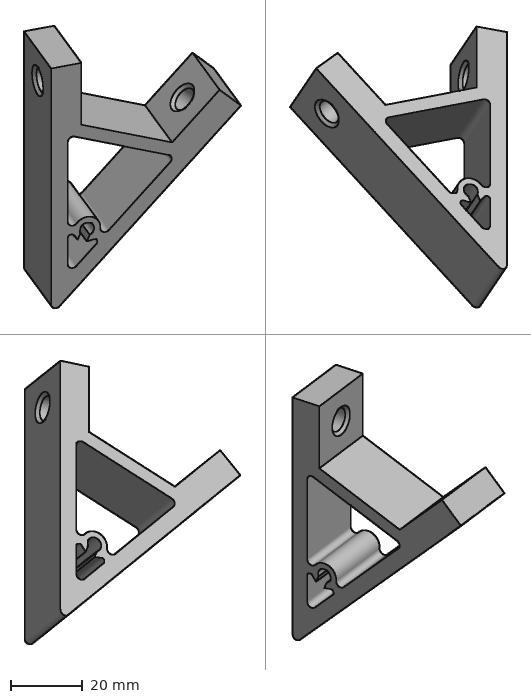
import cadquery as cq
import math


WIDTH = 22.0
HEIGHT = 77.9
HALF_ANGLE = math.radians(22.5)
ARM_THICKNESS = 9.0
ARM_FREE_LENGTH = 20.0
WALL = 5.0
STRUT_THICKNESS = 4.0
CORNER_RADIUS = 1.5

CLIP_DISTANCE = 27.95
CLIP_INNER_RADIUS = 2.1
CLIP_OUTER_RADIUS = 4.0
THROAT_HALF_WIDTH = 1.5
LIP_SLOPE = math.radians(31)
LIP_CORNER_RADIUS = 0.9

HOLE_DIAMETER = 7.0
COUNTERSINK_DIAMETER = 8.95
HOLE_FROM_END = 10.0

SIN = math.sin(HALF_ANGLE)
COS = math.cos(HALF_ANGLE)
TAN = math.tan(HALF_ANGLE)

TIP_LOSS = CORNER_RADIUS * (1 / TAN - 1)
ARM_LENGTH = HEIGHT + TIP_LOSS


def place(across, along):
    """Convert a local profile point to (Y, Z)."""
    y = across * COS + along * SIN
    z = along * COS - across * SIN - TIP_LOSS
    return (y, z)


def on_arm(depth, distance):
    """Local point at a depth under the outer face, on the positive-across arm."""
    return (distance * SIN - depth * COS, distance * COS + depth * SIN)


def mirrored(point):
    return (-point[0], point[1])


def prism(profile):
    return profile.close().extrude(WIDTH / 2, both=True)


def symmetric_prism(half_points):
    """Extrude a polygon given by its positive-across half, lowest point first."""
    other_half = [mirrored(p) for p in reversed(half_points) if p[0] != 0]
    points = [place(*p) for p in half_points + other_half]
    return prism(cq.Workplane("YZ").polyline(points))


def round_corners(solid, radius, corners):
    """Round the X-direction edges that pass through the given local points."""
    for corner in corners:
        y, z = place(*corner)
        edge = cq.selectors.NearestToPointSelector((0, y, z))
        solid = solid.edges("|X").edges(edge).fillet(radius)
    return solid


def make_body():
    tip = (0, 0)
    body = symmetric_prism([
        tip,
        on_arm(0, ARM_LENGTH),
        on_arm(ARM_THICKNESS, ARM_LENGTH),
        on_arm(ARM_THICKNESS, ARM_LENGTH - ARM_FREE_LENGTH),
    ])
    return round_corners(body, CORNER_RADIUS, [tip])


def wall_across(along):
    """Across position of the pocket wall."""
    return along * TAN - WALL / COS


def make_main_pocket():
    """Opening under the strut, notched from below by the clip."""
    strut_top = on_arm(ARM_THICKNESS, ARM_LENGTH - ARM_FREE_LENGTH)[1]
    top = strut_top - STRUT_THICKNESS
    top_corner = (wall_across(top), top)
    shoulder = (CLIP_OUTER_RADIUS * COS, CLIP_DISTANCE + CLIP_OUTER_RADIUS * SIN)
    leg_reach = shoulder[0] + shoulder[1] * TAN
    foot_along = (leg_reach + WALL / COS) / (2 * TAN)
    foot = (wall_across(foot_along), foot_along)
    crown = (0, CLIP_DISTANCE + CLIP_OUTER_RADIUS)
    profile = (
        cq.Workplane("YZ")
        .moveTo(*place(*shoulder))
        .lineTo(*place(*foot))
        .lineTo(*place(*top_corner))
        .lineTo(*place(*mirrored(top_corner)))
        .lineTo(*place(*mirrored(foot)))
        .lineTo(*place(*mirrored(shoulder)))
        .threePointArc(place(*crown), place(*shoulder))
    )
    corners = [foot, top_corner, mirrored(foot), mirrored(top_corner)]
    return round_corners(prism(profile), CORNER_RADIUS, corners)


def make_clip_pocket():
    """Opening below the clip, joined by a throat to the round seat of the clip."""
    lip_along = CLIP_DISTANCE - math.sqrt(CLIP_OUTER_RADIUS**2 - THROAT_HALF_WIDTH**2)
    seat_along = CLIP_DISTANCE - math.sqrt(CLIP_INNER_RADIUS**2 - THROAT_HALF_WIDTH**2)
    lip = (THROAT_HALF_WIDTH, lip_along)
    throat_top = (THROAT_HALF_WIDTH, seat_along)
    rise = math.tan(LIP_SLOPE)
    run = (wall_across(lip_along) - THROAT_HALF_WIDTH) / (1 - rise * TAN)
    ear = (THROAT_HALF_WIDTH + run, lip_along + run * rise)
    bottom = (0, WALL / SIN)
    crown = (0, CLIP_DISTANCE + CLIP_INNER_RADIUS)
    profile = (
        cq.Workplane("YZ")
        .moveTo(*place(*bottom))
        .lineTo(*place(*ear))
        .lineTo(*place(*lip))
        .lineTo(*place(*throat_top))
        .threePointArc(place(*crown), place(*mirrored(throat_top)))
        .lineTo(*place(*mirrored(lip)))
        .lineTo(*place(*mirrored(ear)))
    )
    pocket = round_corners(prism(profile), CORNER_RADIUS, [bottom])
    return round_corners(pocket, LIP_CORNER_RADIUS, [ear, mirrored(ear)])


def make_hole_cutter():
    """Hole through the upright arm, countersunk at 45 degrees on both faces."""
    bore = HOLE_DIAMETER / 2
    mouth = COUNTERSINK_DIAMETER / 2
    sink = mouth - bore
    return (
        cq.Workplane("XY")
        .polyline([
            (0, 0),
            (mouth, 0),
            (bore, sink),
            (bore, ARM_THICKNESS - sink),
            (mouth, ARM_THICKNESS),
            (0, ARM_THICKNESS),
        ])
        .close()
        .revolve(360, (0, 0, 0), (0, 1, 0))
        .translate((0, 0, HEIGHT - HOLE_FROM_END))
    )


upright_hole = make_hole_cutter()
slanted_hole = (
    upright_hole
    .translate((0, 0, TIP_LOSS))
    .mirror("XY")
    .rotate((0, 0, 0), (1, 0, 0), 180 - 2 * math.degrees(HALF_ANGLE))
    .translate((0, 0, -TIP_LOSS))
)

result = (
    make_body()
    .cut(make_main_pocket())
    .cut(make_clip_pocket())
    .cut(upright_hole)
    .cut(slanted_hole)
)